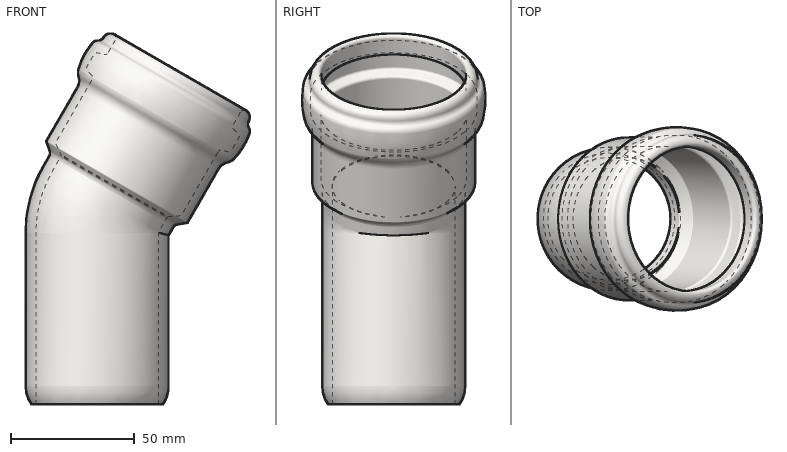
import cadquery as cq
import math

BEND_ANGLE = 30.0
BEND_RADIUS = 25.5

PIPE_R = 58.0 / 2
BORE_R = 49.6 / 2
SPIGOT_LENGTH = 69.35
SPIGOT_NOSE_LENGTH = 7.3
SPIGOT_NOSE_R = 26.6

SLEEVE_R = 66.1 / 2
SLEEVE_BORE_R = 58.8 / 2
BULGE_R = 74.4 / 2
GROOVE_R = 67.6 / 2
LIP_R = 34.0
LIP_BORE_R = 58.5 / 2

FLARE_START = 5.7
FLARE_END = 9.1
BORE_FLARE_START = 7.2
BORE_FLARE_END = 10.4
SLEEVE_END = 34.3
NECK_MIDDLE = 38.2
BULGE_START = 40.8
BULGE_WIDEST = 46.5
BULGE_END = 52.8
SHOULDER_END = 55.1
RIM = 60.4
GROOVE_START = 42.5
GROOVE_STEP = 1.4
GROOVE_END = 50.2

NECK_MIDDLE_R = 34.75
BULGE_START_R = 36.4
BULGE_END_R = 36.8
SHOULDER_R = 35.05

LIP_ROUND = 3.3
CREST_R = LIP_R - LIP_ROUND
LIP_BORE_ROUND = CREST_R - LIP_BORE_R
FLARE_FOOT_ROUND = 2.0
FLARE_TOP_ROUND = 0.5
BORE_FLARE_ROUND = 0.5
GROOVE_STEP_ROUND = 1.0

SELECT_MARGIN = 0.1


def arc_middle(wall_r, wall_z, end_r, end_z):
    """Middle of the arc that leaves a straight wall at (wall_r, wall_z) and ends at (end_r, end_z)."""
    across = end_r - wall_r
    along = end_z - wall_z
    chord = math.hypot(across, along)
    half_sweep = math.atan2(abs(across), abs(along))
    reach = chord / (2 * math.cos(half_sweep / 2))
    return (
        wall_r + math.copysign(reach * math.sin(half_sweep / 2), across),
        wall_z + math.copysign(reach * math.cos(half_sweep / 2), along),
    )


def spigot_outer():
    """Pipe along Z whose free end is rounded by an arc tangent to the wall."""
    nose_middle = arc_middle(PIPE_R, SPIGOT_NOSE_LENGTH, SPIGOT_NOSE_R, 0)
    return (
        cq.Workplane("XZ")
        .lineTo(SPIGOT_NOSE_R, 0)
        .threePointArc(nose_middle, (PIPE_R, SPIGOT_NOSE_LENGTH))
        .lineTo(PIPE_R, SPIGOT_LENGTH)
        .lineTo(0, SPIGOT_LENGTH)
        .close()
        .revolve(360, (0, 0), (0, 1))
    )


def spigot_bore():
    return cq.Workplane("XY").circle(BORE_R).extrude(SPIGOT_LENGTH)


def elbow(radius):
    """Disc swept about the bend axis; any part of it beyond that axis is left out."""
    disc = cq.Sketch().circle(radius)
    if radius > BEND_RADIUS:
        beyond = radius - BEND_RADIUS
        disc = disc.push([(BEND_RADIUS + beyond, 0)]).rect(2 * beyond, 2 * radius, mode="s")
    return (
        cq.Workplane("XY", origin=(0, 0, SPIGOT_LENGTH))
        .placeSketch(disc)
        .revolve(BEND_ANGLE, (BEND_RADIUS, 0), (BEND_RADIUS, 1))
    )


def on_elbow_end(body):
    """Move a body standing on the XY plane to the upper end of the elbow."""
    angle = math.radians(BEND_ANGLE)
    end_x = BEND_RADIUS * (1 - math.cos(angle))
    end_z = SPIGOT_LENGTH + BEND_RADIUS * math.sin(angle)
    return body.rotate((0, 0, 0), (0, 1, 0), BEND_ANGLE).translate((end_x, 0, end_z))


def round_ring(body, height, radius):
    """Fillet the circular edge centred on the Z axis at the given height."""
    box = cq.selectors.BoxSelector(
        (-SELECT_MARGIN, -SELECT_MARGIN, height - SELECT_MARGIN),
        (SELECT_MARGIN, SELECT_MARGIN, height + SELECT_MARGIN),
    )
    return body.edges(box).fillet(radius)


def socket_outer():
    """Outside of the socket as a solid body standing on the XY plane."""
    lip_start = RIM - LIP_ROUND
    profile = (
        cq.Workplane("XZ")
        .lineTo(PIPE_R, 0)
        .lineTo(PIPE_R, FLARE_START)
        .lineTo(SLEEVE_R, FLARE_END)
        .lineTo(SLEEVE_R, SLEEVE_END)
        .tangentArcPoint((NECK_MIDDLE_R, NECK_MIDDLE), relative=False)
        .tangentArcPoint((BULGE_START_R, BULGE_START), relative=False)
        .threePointArc((BULGE_R, BULGE_WIDEST), (BULGE_END_R, BULGE_END))
        .tangentArcPoint((SHOULDER_R, SHOULDER_END), relative=False)
        .threePointArc(arc_middle(LIP_R, lip_start, SHOULDER_R, SHOULDER_END), (LIP_R, lip_start))
        .threePointArc(arc_middle(LIP_R, lip_start, CREST_R, RIM), (CREST_R, RIM))
        .lineTo(0, RIM)
        .close()
    )
    body = profile.revolve(360, (0, 0), (0, 1))
    body = round_ring(body, FLARE_START, FLARE_FOOT_ROUND)
    return round_ring(body, FLARE_END, FLARE_TOP_ROUND)


def socket_bore():
    """Inside of the socket: flare, sleeve bore, seal groove and rounded mouth."""
    bore_top = RIM - LIP_BORE_ROUND
    profile = (
        cq.Workplane("XZ")
        .lineTo(BORE_R, 0)
        .lineTo(BORE_R, BORE_FLARE_START)
        .lineTo(SLEEVE_BORE_R, BORE_FLARE_END)
        .lineTo(SLEEVE_BORE_R, GROOVE_START - GROOVE_STEP)
        .lineTo(GROOVE_R, GROOVE_START)
        .lineTo(GROOVE_R, GROOVE_END)
        .lineTo(LIP_BORE_R, GROOVE_END + GROOVE_STEP)
        .lineTo(LIP_BORE_R, bore_top)
        .threePointArc(arc_middle(LIP_BORE_R, bore_top, CREST_R, RIM), (CREST_R, RIM))
        .lineTo(0, RIM)
        .close()
    )
    body = profile.revolve(360, (0, 0), (0, 1))
    for height in (BORE_FLARE_START, BORE_FLARE_END):
        body = round_ring(body, height, BORE_FLARE_ROUND)
    for height in (GROOVE_START - GROOVE_STEP, GROOVE_START, GROOVE_END, GROOVE_END + GROOVE_STEP):
        body = round_ring(body, height, GROOVE_STEP_ROUND)
    return body


outer = spigot_outer().union(elbow(PIPE_R)).union(on_elbow_end(socket_outer()))
bore = spigot_bore().union(elbow(BORE_R)).union(on_elbow_end(socket_bore()))
result = outer.cut(bore)